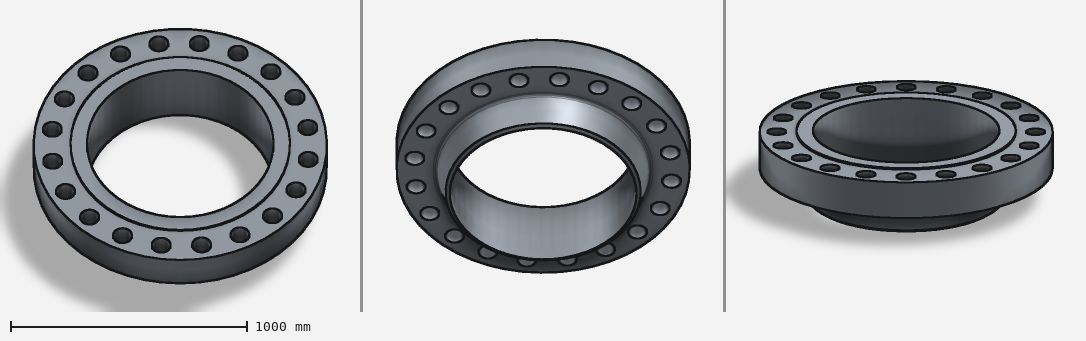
import cadquery as cq

flange_diameter = 1238.0
flange_thickness = 161.0
bore_diameter = 788.0

face_diameter = 926.0
face_height = 6.0

total_height = 310.0
hub_root_diameter = 905.0
hub_root_fillet = 16.0
weld_bevel_height = 11.0
weld_bevel_end_diameter = 789.0
hub_end_diameter = 823.0

bolt_count = 20
bolt_circle_diameter = 1092.0
bolt_hole_diameter = 79.0

flange_top = total_height - face_height
flange_bottom = flange_top - flange_thickness


def flange_body():
    """Revolve the bored half section, then round the hub root."""
    bore_radius = bore_diameter / 2
    section = (
        cq.Workplane("XZ")
        .moveTo(bore_radius, 0)
        .lineTo(weld_bevel_end_diameter / 2, 0)
        .lineTo(hub_end_diameter / 2, weld_bevel_height)
        .lineTo(hub_root_diameter / 2, flange_bottom)
        .lineTo(flange_diameter / 2, flange_bottom)
        .lineTo(flange_diameter / 2, flange_top)
        .lineTo(face_diameter / 2, flange_top)
        .lineTo(face_diameter / 2, total_height)
        .lineTo(bore_radius, total_height)
        .close()
    )
    body = section.revolve(360, (0, 0, 0), (0, 1, 0))
    hub_root = cq.selectors.BoxSelector(
        (-flange_diameter, -flange_diameter, flange_bottom - hub_root_fillet),
        (flange_diameter, flange_diameter, flange_bottom + hub_root_fillet),
    )
    root_edge = body.edges("%CIRCLE").edges(hub_root).edges(cq.selectors.RadiusNthSelector(0))
    return root_edge.fillet(hub_root_fillet)


def bolt_holes():
    """Through drills evenly spaced on the bolt circle, one on the X axis."""
    return (
        cq.Workplane("XY")
        .polarArray(bolt_circle_diameter / 2, 0, 360, bolt_count)
        .circle(bolt_hole_diameter / 2)
        .extrude(total_height)
    )


result = flange_body().cut(bolt_holes())